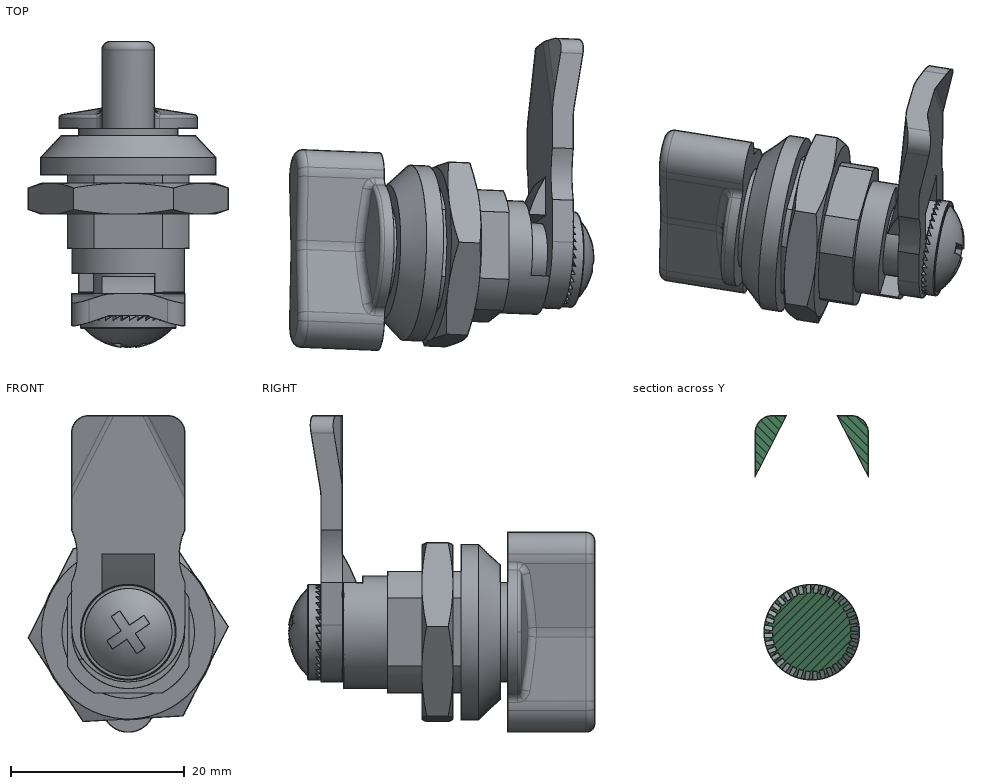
import cadquery as cq
import math


flange_radius = 10.1
flange_top_radius = 7.75
flange_rim = 2.0
flange_height = 4.52
body_radius = 8.03
body_across_flats = 14.0
body_length = 8.45
barrel_radius = 6.5
barrel_length = 2.9
stop_length = 2.2
stop_end_offset = 3.1
shaft_radius = 4.0

nut_across_flats = 20.0
nut_turn = 3.2
nut_seat = 0.95
nut_thickness = 3.58
nut_chamfer_height = 0.55
nut_bore_radius = 7.63

neck_radius = 5.73
neck_height = 0.85
knob_disk_radius = 8.0
knob_disk_edge = 1.55
knob_disk_center = 2.85
knob_disk_rounding = 0.47
grip_height = 10.05
grip_end_radius = 3.03
grip_half_length = 11.53
grip_taper = 5.3
blend_outer_end = 9.0
blend_inner_end = 7.92
waist_half_length = 0.55
grip_rounding = 1.02
grip_root_fillet = 1.0

cam_gap = 0.15
cam_thickness = 2.48
cam_half_width = 6.53
cam_round_center = 0.8
cam_top = 24.95
cam_corner_radius = 2.0
neck_half_width = 5.87
neck_start = 5.73
neck_end = 11.8
fold_start = 15.45
fold_lean = 27.1
fold_angle = 20.0
fold_inner_radius = 1.6
tongue_half_width = 3.03
window_bottom = 4.52
window_top = 9.0
tongue_reach = 2.0
tongue_bulge = 0.2

head_radius = 5.5
head_thickness = 1.55
head_chamfer = 0.1
dome_radius = 5.05
dome_height = 2.23
tooth_count = 36
tooth_depth = 0.6
tooth_phase = 171.5
tooth_inner_radius = 4.52
recess_length = 5.18
recess_width = 1.15
recess_depth = 1.0
recess_turn = 34.4

neck_base = flange_height
disk_base = neck_base + neck_height
barrel_start = -body_length
stop_start = barrel_start - barrel_length
stop_end = stop_start - stop_length
cam_back = stop_end - cam_gap
cam_front = cam_back - cam_thickness
head_front = cam_front - head_thickness
screw_tip = head_front - dome_height

CLEAR = 36.5


def plane_at(y):
    """Plane across the axis, with its normal along -Y, local x along X and local y along Z."""
    return cq.Workplane("XZ", origin=(0, y, 0))


def cylinder(radius, y_high, y_low):
    return plane_at(y_high).circle(radius).extrude(y_high - y_low)


def revolved(points):
    """Turn a closed (radius, y) outline about the Y axis."""
    return cq.Workplane("XY").polyline(points).close().revolve(360, (0, 0), (0, 1))


def make_housing():
    flange = revolved([
        (0, 0),
        (flange_radius, 0),
        (flange_radius, flange_rim),
        (flange_top_radius, flange_height),
        (0, flange_height),
    ])
    threaded_body = cylinder(body_radius, 0, barrel_start).intersect(
        plane_at(0).rect(body_across_flats, body_across_flats).extrude(body_length)
    )
    barrel = cylinder(barrel_radius, barrel_start, stop_end)
    stop_gap = (
        plane_at(stop_start)
        .moveTo(stop_end_offset, -stop_end_offset)
        .rect(-CLEAR, CLEAR, centered=False)
        .extrude(stop_length)
    )
    shaft_bore = cylinder(shaft_radius, flange_height, stop_end)
    return flange.union(threaded_body).union(barrel.cut(stop_gap)).cut(shaft_bore)


def make_nut(housing):
    back = -nut_seat
    front = back - nut_thickness
    flat_radius = nut_across_flats / 2
    corner_radius = flat_radius / math.cos(math.radians(30))
    hexagon = (
        plane_at(back)
        .polygon(6, 2 * corner_radius)
        .extrude(nut_thickness)
        .rotate((0, 0, 0), (0, 1, 0), -nut_turn)
    )
    chamfered_round = revolved([
        (0, back),
        (flat_radius, back),
        (corner_radius, back - nut_chamfer_height),
        (corner_radius, front + nut_chamfer_height),
        (flat_radius, front),
        (0, front),
    ])
    bore = cylinder(nut_bore_radius, back, front)
    return hexagon.intersect(chamfered_round).cut(bore).cut(housing)


def make_grip():
    taper = math.radians(grip_taper)
    end_center = grip_half_length - grip_end_radius
    blend_turn = math.asin((blend_outer_end - end_center) / grip_end_radius)
    blend_radius = (blend_outer_end - blend_inner_end) / (math.sin(blend_turn) + math.sin(taper))
    end_x = grip_end_radius * math.cos(blend_turn)
    blend_center_x = end_x - blend_radius * math.cos(blend_turn)
    blend_center_z = blend_outer_end - blend_radius * math.sin(blend_turn)
    widest_x = blend_center_x + blend_radius
    root_x = blend_center_x + blend_radius * math.cos(taper)
    flank_x = root_x - (blend_inner_end - waist_half_length) * math.tan(taper)
    waist_x = flank_x - waist_half_length * math.tan(taper / 2)
    outline = (
        plane_at(disk_base + grip_height)
        .moveTo(end_x, blend_outer_end)
        .threePointArc((0, grip_half_length), (-end_x, blend_outer_end))
        .threePointArc((-widest_x, blend_center_z), (-root_x, blend_inner_end))
        .lineTo(-flank_x, waist_half_length)
        .threePointArc((-waist_x, 0), (-flank_x, -waist_half_length))
        .lineTo(-root_x, -blend_inner_end)
        .threePointArc((-widest_x, -blend_center_z), (-end_x, -blend_outer_end))
        .threePointArc((0, -grip_half_length), (end_x, -blend_outer_end))
        .threePointArc((widest_x, -blend_center_z), (root_x, -blend_inner_end))
        .lineTo(flank_x, -waist_half_length)
        .threePointArc((waist_x, 0), (flank_x, waist_half_length))
        .lineTo(root_x, blend_inner_end)
        .threePointArc((widest_x, blend_center_z), (end_x, blend_outer_end))
        .close()
    )
    return outline.extrude(grip_height).faces(">Y").edges().fillet(grip_rounding)


def make_knob():
    disk = revolved([
        (0, disk_base),
        (knob_disk_radius, disk_base),
        (knob_disk_radius, disk_base + knob_disk_edge),
        (0, disk_base + knob_disk_center),
    ])
    rim = cq.selectors.RadiusNthSelector(-1)
    disk = disk.edges("%CIRCLE").edges(">Y").edges(rim).fillet(knob_disk_rounding)
    handle = disk.union(make_grip())
    root_edges = cq.selectors.BoxSelector(
        (-grip_end_radius, disk_base + knob_disk_rounding, -blend_inner_end),
        (grip_end_radius, disk_base + knob_disk_center, blend_inner_end),
    )
    handle = handle.edges(root_edges).fillet(grip_root_fillet)
    neck = cylinder(neck_radius, disk_base, neck_base)
    shaft = cylinder(shaft_radius, neck_base, cam_back)
    return handle.union(neck).union(shaft)


def cam_outline():
    """Flat outline of the cam, extruded deep enough to hold its folded corners."""
    neck_middle = (neck_start + neck_end) / 2
    return (
        plane_at(cam_back)
        .moveTo(cam_half_width, cam_round_center)
        .lineTo(cam_half_width, neck_start)
        .threePointArc((neck_half_width, neck_middle), (cam_half_width, neck_end))
        .lineTo(cam_half_width, cam_top)
        .lineTo(-cam_half_width, cam_top)
        .lineTo(-cam_half_width, neck_end)
        .threePointArc((-neck_half_width, neck_middle), (-cam_half_width, neck_start))
        .lineTo(-cam_half_width, cam_round_center)
        .threePointArc((0, cam_round_center - cam_half_width), (cam_half_width, cam_round_center))
        .close()
        .extrude(2 * cam_thickness)
        .edges("|Y")
        .edges(">Z")
        .fillet(cam_corner_radius)
    )


def fold_plane():
    """Plane square to the right fold: local x leads outwards across the fold, local y along +Y."""
    lean = math.radians(fold_lean)
    return cq.Plane(
        origin=(cam_half_width, cam_back, fold_start),
        xDir=(math.cos(lean), 0, math.sin(lean)),
        normal=(-math.sin(lean), 0, math.cos(lean)),
    )


def folded_corner():
    """Strip that bends towards -Y about the right fold and then runs straight."""
    outer_radius = fold_inner_radius + cam_thickness
    bend_center = -outer_radius
    angle = math.radians(fold_angle)
    strip_length = 2 * cam_half_width

    def on_bend(radius, turn):
        return (radius * math.sin(turn), bend_center + radius * math.cos(turn))

    def past_bend(radius):
        x, y = on_bend(radius, angle)
        return (x + strip_length * math.cos(angle), y - strip_length * math.sin(angle))

    return (
        cq.Workplane(fold_plane())
        .moveTo(*on_bend(outer_radius, 0))
        .threePointArc(on_bend(outer_radius, angle / 2), on_bend(outer_radius, angle))
        .lineTo(*past_bend(outer_radius))
        .lineTo(*past_bend(fold_inner_radius))
        .lineTo(*on_bend(fold_inner_radius, angle))
        .threePointArc(on_bend(fold_inner_radius, angle / 2), on_bend(fold_inner_radius, 0))
        .close()
        .extrude(CLEAR, both=True)
    )


def make_tongue():
    """Tongue bent out of the window towards the stop."""
    middle_z = (window_bottom + window_top) / 2
    middle_y = tongue_reach / 2 + tongue_bulge
    return (
        cq.Workplane("YZ")
        .moveTo(cam_back, window_top)
        .threePointArc((cam_back + middle_y, middle_z), (cam_back + tongue_reach, window_bottom))
        .lineTo(cam_back, window_bottom)
        .threePointArc((cam_front + middle_y, middle_z), (cam_front, window_top))
        .close()
        .extrude(tongue_half_width, both=True)
    )


def make_cam():
    outline = cam_outline()
    beyond_fold = (
        cq.Workplane(fold_plane())
        .rect(CLEAR, 2 * CLEAR, centered=(False, True))
        .extrude(CLEAR, both=True)
    )
    flat = outline.intersect(plane_at(cam_back).rect(2 * CLEAR, 2 * CLEAR).extrude(cam_thickness))
    flat = flat.cut(beyond_fold).cut(beyond_fold.mirror("YZ"))
    corner = outline.intersect(folded_corner())
    window = (
        plane_at(cam_back)
        .moveTo(-tongue_half_width, window_bottom)
        .rect(2 * tongue_half_width, window_top - window_bottom, centered=False)
        .extrude(cam_thickness)
    )
    return flat.union(corner).union(corner.mirror("YZ")).cut(window).union(make_tongue())


def tooth_groove(index):
    """Sawtooth groove in the clamping face of the screw head, running out radially."""
    pitch = 360 / tooth_count
    groove_width = head_radius * math.radians(pitch)
    return (
        cq.Workplane("YZ", origin=(tooth_inner_radius, cam_front, 0))
        .polyline([(0, 0), (-tooth_depth, 0), (0, -groove_width)])
        .close()
        .extrude(head_radius)
        .rotate((0, 0, 0), (0, 1, 0), tooth_phase + index * pitch)
    )


def make_dome():
    sphere_radius = (dome_radius**2 + dome_height**2) / (2 * dome_height)
    return (
        cq.Workplane("XY")
        .sphere(sphere_radius)
        .translate((0, screw_tip + sphere_radius, 0))
        .intersect(cylinder(dome_radius, head_front, screw_tip))
    )


def cross_recess(dome):
    """Cross of two slots whose floor follows the dome at a constant depth."""
    slot = plane_at(head_front).rect(recess_length, recess_width).extrude(dome_height)
    cross = slot.union(slot.rotate((0, 0, 0), (0, 1, 0), 90)).rotate((0, 0, 0), (0, 1, 0), -recess_turn)
    return cross.cut(dome.translate((0, recess_depth, 0)))


def make_screw():
    head = cylinder(head_radius, cam_front, head_front).faces("<Y").edges().chamfer(head_chamfer)
    for index in range(tooth_count):
        head = head.cut(tooth_groove(index))
    dome = make_dome()
    return head.union(dome).cut(cross_recess(dome))


housing = make_housing()
nut = make_nut(housing)
knob = make_knob()
cam = make_cam()
screw = make_screw()

result = cq.Compound.makeCompound([
    housing.val(),
    nut.val(),
    knob.val(),
    cam.val(),
    screw.val(),
])